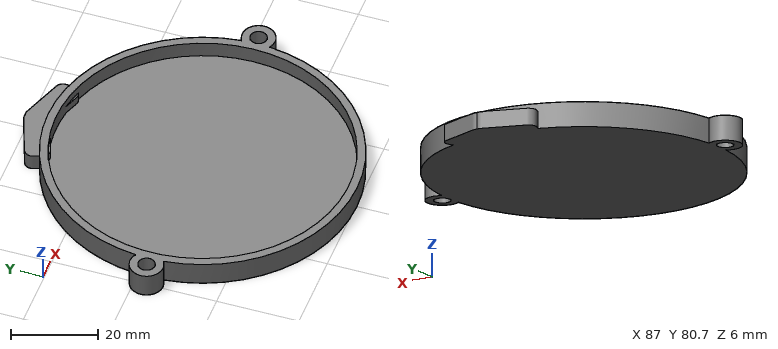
import cadquery as cq
import math

overall_length = 87.0

tray_height = 6.0
floor_thickness = 2.0
outer_radius = 37.5
wall_thickness = 2.0
inner_radius = outer_radius - wall_thickness

lug_radius = 4.0
lug_hole_diameter = 4.0
lug_center_x = overall_length / 2 - lug_radius

bar_height = 4.0
bar_length = 14.6
bar_width = 6.0
bar_corner_radius = 2.0
bar_slope = 20.0
peak_y = 43.15
peak_offset_x = 0.5


def cylinder(radius, height):
    return cq.Workplane("XY").circle(radius).extrude(height)


def make_lug(side):
    """Lug post at the +X (side = 1) or -X (side = -1) end."""
    return cylinder(lug_radius, tray_height).translate((side * lug_center_x, 0, 0))


def make_bar():
    """Bar on the +X side, placed by the corner arc that forms its peak."""
    slope = math.radians(bar_slope)
    arc_center_y = peak_y - bar_corner_radius
    along = bar_length / 2 - bar_corner_radius
    across = bar_width / 2 - bar_corner_radius
    center_x = peak_offset_x + along * math.cos(slope) - across * math.sin(slope)
    center_y = arc_center_y - along * math.sin(slope) - across * math.cos(slope)
    return (
        cq.Workplane("XY")
        .rect(bar_length, bar_width)
        .extrude(bar_height)
        .edges("|Z")
        .fillet(bar_corner_radius)
        .rotate((0, 0, 0), (0, 0, 1), -bar_slope)
        .translate((center_x, center_y, 0))
    )


cavity = cylinder(inner_radius, tray_height).translate((0, 0, floor_thickness))
body = cylinder(outer_radius, tray_height)
for side in (1, -1):
    body = body.union(make_lug(side))
body = body.cut(cavity)
for side in (1, -1):
    lug_hole = cylinder(lug_hole_diameter / 2, tray_height)
    body = body.cut(lug_hole.translate((side * lug_center_x, 0, 0)))

right_bar = make_bar()
left_bar = right_bar.mirror("YZ")
result = body.union(right_bar).union(left_bar)